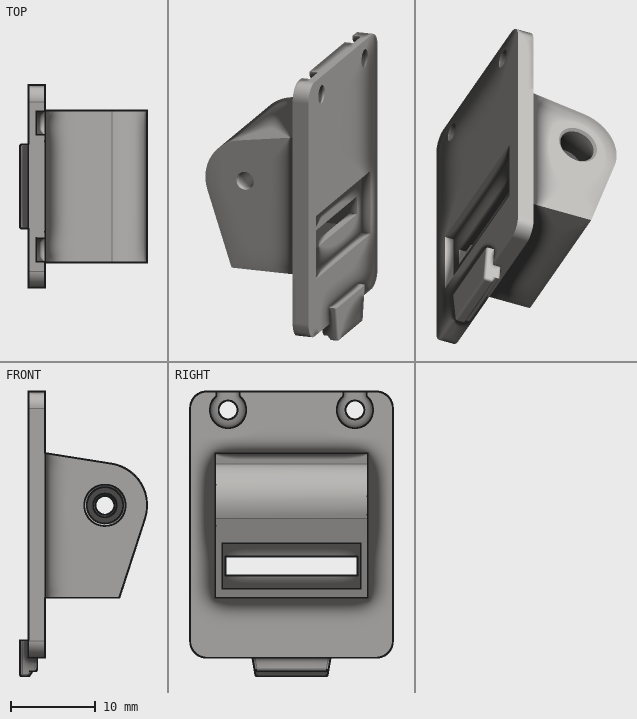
import cadquery as cq
import math

PLATE_THICKNESS = 2.0
PLATE_WIDTH = 24.0
PLATE_HEIGHT = 31.5
PLATE_CORNER_RADIUS = 2.0

SCREW_DIAMETER = 2.2
SCREW_SPACING = 15.0
SCREW_Z = 29.3
SCREW_HEAD_DIAMETER = 4.3
SCREW_NOTCH_WIDTH = 2.75
SCREW_WEB = 0.95

BRACKET_WIDTH = 18.0
BRACKET_BOTTOM_Z = 7.1
PIVOT_X = 9.06
PIVOT_Z = 18.03
PIVOT_ROUND_RADIUS = 5.0
TOP_SLOPE = math.radians(9)
BACK_SLOPE = math.radians(18)

BORE_DIAMETER = 4.3
BORE_DEPTH = 4.0
PIVOT_HOLE_DIAMETER = 2.2
BORE_CHAMFER = 0.3

OPENING_Z = 10.86
RECESS_WIDTH = 18.9
RECESS_HEIGHT = 7.8
RECESS_DEPTH = 1.1
SLOT_WIDTH = 15.6
SLOT_HEIGHT = 2.2
CAVITY_SIDE_MARGIN = 0.4
CAVITY_HEIGHT_MARGIN = 1.6

LIP_FRONT_X = -1.0
LIP_BACK_X = 1.06
LIP_TIP_BACK_X = 0.1
LIP_LEDGE_START_X = 0.5
LIP_TOP_Z = 2.1
LIP_LEDGE_Z = -1.6
LIP_BOTTOM_Z = -2.2
LIP_TOP_WIDTH = 10.0
LIP_BOTTOM_WIDTH = 8.5
LIP_FILLET = 0.3

SELECTION_MARGIN = 0.05


def box(x_start, x_end, width, z_center, height):
    """Box centred on y = 0, spanning x_start to x_end."""
    center = ((x_start + x_end) / 2, 0, z_center)
    return cq.Workplane("XY").box(x_end - x_start, width, height).translate(center)


def make_plate():
    plate = box(0, PLATE_THICKNESS, PLATE_WIDTH, PLATE_HEIGHT / 2, PLATE_HEIGHT)
    return plate.edges("|X").fillet(PLATE_CORNER_RADIUS)


def pivot_round_point(angle):
    """Point (x, z) on the rounded end, at an angle above the +X direction."""
    return (
        PIVOT_X + PIVOT_ROUND_RADIUS * math.cos(angle),
        PIVOT_Z + PIVOT_ROUND_RADIUS * math.sin(angle),
    )


def make_bracket():
    """Side outline whose two sloped faces run tangent into the rounded end."""
    arc_top = pivot_round_point(math.pi / 2 - TOP_SLOPE)
    arc_tip = pivot_round_point(0)
    arc_bottom = pivot_round_point(-BACK_SLOPE)
    top_z = arc_top[1] + (arc_top[0] - PLATE_THICKNESS) * math.tan(TOP_SLOPE)
    bottom_x = arc_bottom[0] - (arc_bottom[1] - BRACKET_BOTTOM_Z) * math.tan(BACK_SLOPE)
    return (
        cq.Workplane("XZ")
        .moveTo(PLATE_THICKNESS, BRACKET_BOTTOM_Z)
        .lineTo(PLATE_THICKNESS, top_z)
        .lineTo(*arc_top)
        .threePointArc(arc_tip, arc_bottom)
        .lineTo(bottom_x, BRACKET_BOTTOM_Z)
        .close()
        .extrude(BRACKET_WIDTH / 2, both=True)
    )


def edges_near(x_start, x_end, z):
    """Selector for edges centred between two x positions at height z, at any y."""
    return cq.selectors.BoxSelector(
        (x_start - SELECTION_MARGIN, -PLATE_WIDTH, z - SELECTION_MARGIN),
        (x_end + SELECTION_MARGIN, PLATE_WIDTH, z + SELECTION_MARGIN),
    )


def make_lip():
    """Stepped side profile, trimmed to a trapezoid that narrows downwards."""
    profile = (
        cq.Workplane("XZ")
        .polyline([
            (LIP_FRONT_X, LIP_TOP_Z),
            (LIP_FRONT_X, LIP_BOTTOM_Z),
            (LIP_TIP_BACK_X, LIP_BOTTOM_Z),
            (LIP_LEDGE_START_X, LIP_LEDGE_Z),
            (LIP_BACK_X, LIP_LEDGE_Z),
            (LIP_BACK_X, LIP_TOP_Z),
        ])
        .close()
        .extrude(LIP_TOP_WIDTH / 2, both=True)
    )
    trapezoid = (
        cq.Workplane("YZ", origin=(LIP_FRONT_X, 0, 0))
        .polyline([
            (-LIP_TOP_WIDTH / 2, LIP_TOP_Z),
            (LIP_TOP_WIDTH / 2, LIP_TOP_Z),
            (LIP_BOTTOM_WIDTH / 2, LIP_BOTTOM_Z),
            (-LIP_BOTTOM_WIDTH / 2, LIP_BOTTOM_Z),
        ])
        .close()
        .extrude(LIP_BACK_X - LIP_FRONT_X)
    )
    lip = profile.intersect(trapezoid)
    sharp_edges = edges_near(LIP_LEDGE_START_X, LIP_BACK_X - LIP_FILLET, LIP_LEDGE_Z)
    sharp_edges += edges_near(LIP_TIP_BACK_X, LIP_TIP_BACK_X, LIP_BOTTOM_Z)
    rounded_edges = cq.selectors.StringSyntaxSelector("not >Z") - sharp_edges
    return lip.edges(rounded_edges).fillet(LIP_FILLET)


def bored_cylinder(workplane, diameter, length):
    """Cylinder flared by a chamfer at its entrance, running toward +Y."""
    radius = diameter / 2
    return (
        workplane.polyline([
            (0, 0),
            (radius + BORE_CHAMFER, 0),
            (radius, BORE_CHAMFER),
            (radius, length),
            (0, length),
        ])
        .close()
        .revolve(360, (0, 0), (0, 1))
    )


def cut_screw_holes(body):
    """Holes counterbored from the back, with a notch from each counterbore up to the top edge."""
    head_depth = PLATE_THICKNESS - SCREW_WEB
    notch_height = PLATE_HEIGHT - SCREW_Z
    for y in (-SCREW_SPACING / 2, SCREW_SPACING / 2):
        hole_plane = cq.Workplane("YZ", origin=(0, y, SCREW_Z))
        head_plane = hole_plane.workplane(offset=SCREW_WEB)
        hole = hole_plane.circle(SCREW_DIAMETER / 2).extrude(PLATE_THICKNESS)
        head = head_plane.circle(SCREW_HEAD_DIAMETER / 2).extrude(head_depth)
        notch = (
            head_plane.center(0, notch_height / 2)
            .rect(SCREW_NOTCH_WIDTH, notch_height)
            .extrude(head_depth)
        )
        body = body.cut(hole).cut(head).cut(notch)
    return body


def cut_pivot_bore(body):
    entrance_y = -BRACKET_WIDTH / 2
    floor_y = entrance_y + BORE_DEPTH
    entrance = cq.Workplane("XY", origin=(PIVOT_X, entrance_y, PIVOT_Z))
    floor = cq.Workplane("XY", origin=(PIVOT_X, floor_y, PIVOT_Z))
    bore = bored_cylinder(entrance, BORE_DIAMETER, BORE_DEPTH)
    hole = bored_cylinder(floor, PIVOT_HOLE_DIAMETER, BRACKET_WIDTH - BORE_DEPTH)
    return body.cut(bore).cut(hole)


def cut_opening(body):
    cavity_width = SLOT_WIDTH + 2 * CAVITY_SIDE_MARGIN
    cavity_height = SLOT_HEIGHT + 2 * CAVITY_HEIGHT_MARGIN
    cavity_back_x = PIVOT_X + PIVOT_ROUND_RADIUS
    recess = box(0, RECESS_DEPTH, RECESS_WIDTH, OPENING_Z, RECESS_HEIGHT)
    slot = box(0, PLATE_THICKNESS, SLOT_WIDTH, OPENING_Z, SLOT_HEIGHT)
    cavity = box(PLATE_THICKNESS, cavity_back_x, cavity_width, OPENING_Z, cavity_height)
    return body.cut(recess).cut(slot).cut(cavity)


body = make_plate().union(make_bracket()).union(make_lip())
body = cut_screw_holes(body)
body = cut_pivot_bore(body)
result = cut_opening(body)